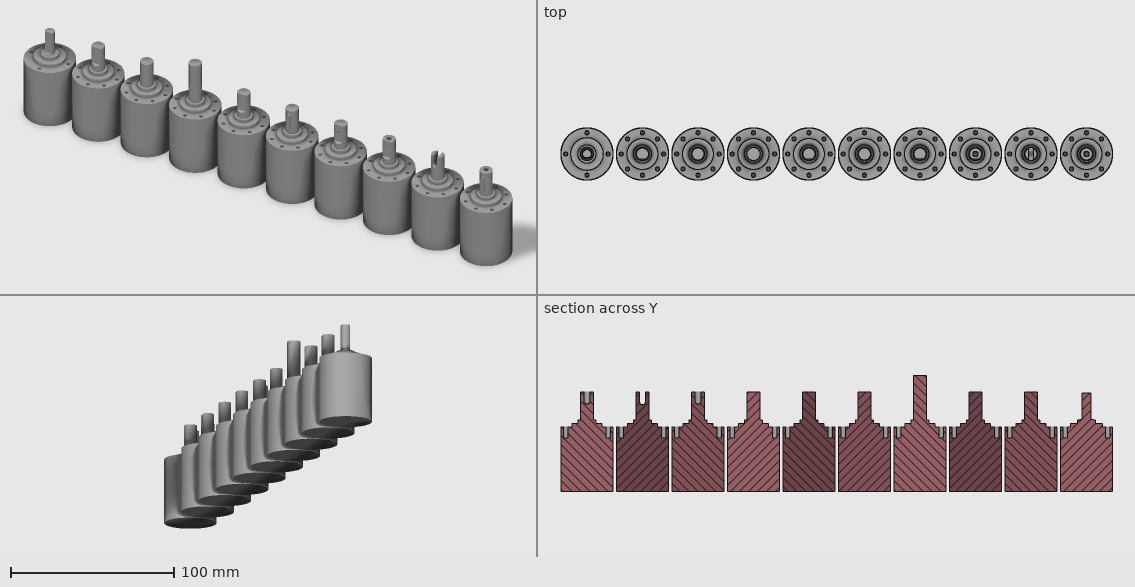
import cadquery as cq
ROW_LENGTH = 338.0
MOTOR_COUNT = 10
CASE_DIAMETER = 32.0
PITCH = (ROW_LENGTH - CASE_DIAMETER) / (MOTOR_COUNT - 1)
FIRST_CENTRE = (CASE_DIAMETER - ROW_LENGTH) / 2

SEAM_HEIGHT = 33.0
CASE_HEIGHT = 40.0
BOSS_TOP = 42.0
COLLAR_TOP = 44.0

BOSS_DIAMETER = 19.0
LARGE_BOSS_DIAMETER = 20.0
COLLAR_DIAMETER = 11.0
BOLT_CIRCLE = 26.0
BOLT_HOLE_DIAMETER = 2.5
BOLT_HOLE_COUNT = 8
SMALL_MOTOR_BOLT_HOLE_COUNT = 4

SHAFT_DIAMETER = 8.0
SHAFT_TOP = 61.2
LONG_SHAFT_TOP = 71.3
TIP_CHAMFER = 0.5
FLAT_OFFSET = 3.0
FLAT_BOTTOM = 49.0

SMALL_SHAFT_DIAMETER = 6.0
SMALL_SHAFT_TOP = 60.5
SMALL_FLAT_OFFSET = 2.13
SMALL_FLAT_BOTTOM = 45.3
SHOULDER_HEIGHT = 0.5

KEY_WIDTH = 2.0
KEY_PROTRUSION = 1.0
KEY_BOTTOM = 46.0
KEY_TOP = 58.5
DIMPLE_DIAMETER = 2.0
DIMPLE_HEIGHT = 55.5
DIMPLE_DEPTH = 2.0
END_HOLE_DIAMETER = 3.3
END_HOLE_DEPTH = 6.8
END_HOLE_POINT = END_HOLE_DIAMETER / 4
SLOT_WIDTH = 3.3
SLOT_BOTTOM = 53.5


def cylinder(diameter, bottom, top):
    """An upright cylinder on the Z axis."""
    return cq.Workplane("XY", origin=(0, 0, bottom)).circle(diameter / 2).extrude(top - bottom)


def gearbox(hole_count, boss_diameter):
    """Case, front plate with bolt holes, boss and collar; the plate seam stays as an edge."""
    holes = (
        cq.Workplane("XY", origin=(0, 0, SEAM_HEIGHT))
        .polarArray(BOLT_CIRCLE / 2, 0, 360, hole_count)
        .circle(BOLT_HOLE_DIAMETER / 2)
        .extrude(CASE_HEIGHT - SEAM_HEIGHT)
    )
    plate = cylinder(CASE_DIAMETER, SEAM_HEIGHT, CASE_HEIGHT).cut(holes)
    boss = cylinder(boss_diameter, CASE_HEIGHT, BOSS_TOP)
    collar = cylinder(COLLAR_DIAMETER, BOSS_TOP, COLLAR_TOP)
    body = cylinder(CASE_DIAMETER, 0, SEAM_HEIGHT)
    for part in (plate, boss, collar):
        body = body.union(part, clean=False)
    return body


def mill_flat(shaft, offset, bottom):
    """Mill a flat facing -Y that runs out to the shaft surface on a 45 degree slope."""
    reach = SHAFT_DIAMETER
    cutter = (
        cq.Workplane("YZ", origin=(-reach, 0, 0))
        .moveTo(-offset, LONG_SHAFT_TOP)
        .lineTo(-offset, bottom)
        .lineTo(-offset - reach, bottom - reach)
        .lineTo(-offset - reach, LONG_SHAFT_TOP)
        .close()
        .extrude(2 * reach)
    )
    return shaft.cut(cutter)


def drill_end(shaft):
    """Drill a blind hole with a conical point into the shaft end."""
    radius = END_HOLE_DIAMETER / 2
    drill = (
        cq.Workplane("XZ")
        .moveTo(0, SHAFT_TOP)
        .lineTo(radius, SHAFT_TOP)
        .lineTo(radius, SHAFT_TOP - END_HOLE_DEPTH)
        .lineTo(0, SHAFT_TOP - END_HOLE_DEPTH - END_HOLE_POINT)
        .close()
        .revolve(360, (0, 0, 0), (0, 1, 0))
    )
    return shaft.cut(drill)


def small_d_shaft():
    shaft = cylinder(SMALL_SHAFT_DIAMETER, COLLAR_TOP, SMALL_SHAFT_TOP).faces(">Z").chamfer(TIP_CHAMFER)
    shoulder = cylinder(SHAFT_DIAMETER, COLLAR_TOP, COLLAR_TOP + SHOULDER_HEIGHT)
    return mill_flat(shaft, SMALL_FLAT_OFFSET, SMALL_FLAT_BOTTOM).union(shoulder)


def round_shaft():
    return cylinder(SHAFT_DIAMETER, COLLAR_TOP, SHAFT_TOP).faces(">Z").chamfer(TIP_CHAMFER)


def long_shaft():
    return cylinder(SHAFT_DIAMETER, COLLAR_TOP, LONG_SHAFT_TOP)


def d_shaft():
    return mill_flat(round_shaft(), FLAT_OFFSET, FLAT_BOTTOM)


def dimpled_d_shaft():
    dimple = (
        cq.Workplane("XZ", origin=(0, DIMPLE_DEPTH - FLAT_OFFSET, DIMPLE_HEIGHT))
        .circle(DIMPLE_DIAMETER / 2)
        .extrude(SHAFT_DIAMETER)
    )
    return d_shaft().cut(dimple)


def keyed_shaft():
    key = (
        cq.Workplane("XZ", origin=(0, 0, (KEY_BOTTOM + KEY_TOP) / 2))
        .slot2D(KEY_TOP - KEY_BOTTOM, KEY_WIDTH, 90)
        .extrude(SHAFT_DIAMETER / 2 + KEY_PROTRUSION)
    )
    return round_shaft().union(key)


def slotted_shaft():
    """A shaft with a round-bottomed slot through its end along Y."""
    half_width = SLOT_WIDTH / 2
    arc_centre = SLOT_BOTTOM + half_width
    slot = (
        cq.Workplane("XZ")
        .moveTo(-half_width, SHAFT_TOP)
        .lineTo(-half_width, arc_centre)
        .threePointArc((0, SLOT_BOTTOM), (half_width, arc_centre))
        .lineTo(half_width, SHAFT_TOP)
        .close()
        .extrude(SHAFT_DIAMETER, both=True)
    )
    return round_shaft().cut(slot)


def gear_motor(shaft, hole_count=BOLT_HOLE_COUNT, boss_diameter=BOSS_DIAMETER):
    """One gear motor: the gearbox and its output shaft as a single solid."""
    return gearbox(hole_count, boss_diameter).union(shaft, clean=False)


gear_motors = [
    gear_motor(small_d_shaft(), SMALL_MOTOR_BOLT_HOLE_COUNT, LARGE_BOSS_DIAMETER),
    gear_motor(d_shaft()),
    gear_motor(round_shaft()),
    gear_motor(long_shaft()),
    gear_motor(d_shaft()),
    gear_motor(keyed_shaft()),
    gear_motor(dimpled_d_shaft()),
    gear_motor(drill_end(d_shaft())),
    gear_motor(slotted_shaft()),
    gear_motor(drill_end(keyed_shaft())),
]

placed_motors = [
    motor.translate((FIRST_CENTRE + index * PITCH, 0, 0)) for index, motor in enumerate(gear_motors)
]

result = cq.Compound.makeCompound([motor.val() for motor in placed_motors])